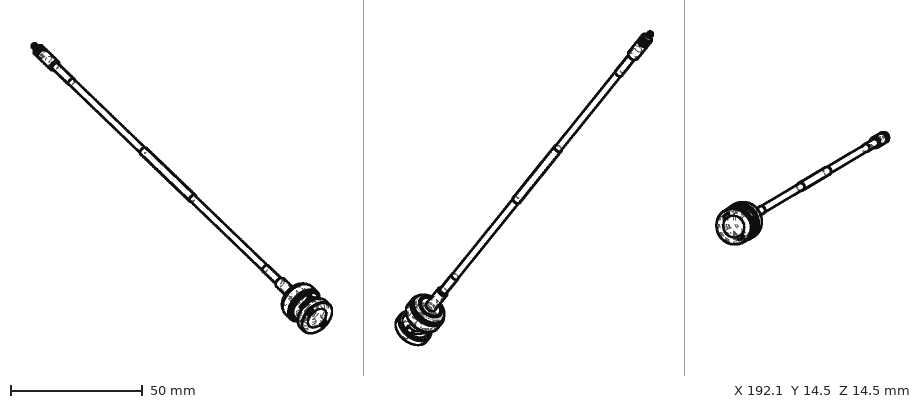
import cadquery as cq
import math


overall_length = 192.13

cable_radius = 1.4
boot_radius = 1.55
label_radius = 1.65
label_start = 74.4
label_length = 33.4
left_boot_length = 10.9
right_boot_length = 9.2

small_length = 14.8
small_radius = 2.15
small_chamfer = 0.5
tip_radius = 1.05
tip_bore_radius = 0.4
tip_bore_depth = 1.2
tip_length = 1.4
nose_cone_length = 1.2
nose_radius = 1.55
shoulder_start = 3.0
groove_depth = 0.2
front_groove_start = 4.2
front_groove_width = 0.4
rear_groove_start = 5.5
rear_groove_width = 0.5
cable_socket_depth = 4.8

ferrule_start = 166.4
ferrule_radius = 2.1
ferrule_chamfer = 0.6

plug_start = 176.8
plug_radius = 4.2

back_face_radius = 4.95
back_lower_length = 0.4
back_lower_radius = 5.8
back_upper_length = 0.9
back_upper_radius = 6.4
back_length = 1.2
shoulder_radius = 6.7
knob_start = 179.4
knob_end = 183.2
knob_radius = 14.48 / 2
collar_end = 184.2
collar_chamfer = 0.3
neck_radius = 5.6
rim_start = 188.9
rim_radius = 7.05
rim_chamfer = 0.4
rim_end_chamfer = 0.25

track_count = 2
pocket_end = 186.3
pocket_angles = (-62, -24)
entry_start = 186.6
entry_angles = (21, 50)
ramp_width = 1.3
ramp_pocket_end = (185.2, 2.4)
ramp_entry_end = (187.9, -2.6)


def revolved(outline):
    """Solid turned about the X axis from a list of (x, radius) points."""
    return cq.Workplane("XY").polyline(outline).close().revolve(360, (0, 0, 0), (1, 0, 0))


def rod(start, end, radius):
    """Cylinder along the X axis."""
    return cq.Workplane("YZ", origin=(start, 0, 0)).circle(radius).extrude(end - start)


def cable_sleeve(start, length, outer_radius):
    """Tube that fits on the cable."""
    end = start + length
    return rod(start, end, outer_radius).cut(rod(start, end, cable_radius))


def make_small_connector():
    groove_radius = small_radius - groove_depth
    front_groove_end = front_groove_start + front_groove_width
    rear_groove_end = rear_groove_start + rear_groove_width
    connector = revolved([
        (0, 0),
        (0, tip_radius),
        (tip_length, tip_radius),
        (tip_length + nose_cone_length, nose_radius),
        (shoulder_start, nose_radius),
        (shoulder_start, small_radius),
        (front_groove_start, small_radius),
        (front_groove_start, groove_radius),
        (front_groove_end, groove_radius),
        (front_groove_end, small_radius),
        (rear_groove_start, small_radius),
        (rear_groove_start, groove_radius),
        (rear_groove_end, groove_radius),
        (rear_groove_end, small_radius),
        (small_length - small_chamfer, small_radius),
        (small_length, small_radius - small_chamfer),
        (small_length, 0),
    ])
    tip_bore = rod(0, tip_bore_depth, tip_bore_radius)
    cable_socket = rod(small_length - cable_socket_depth, small_length, cable_radius)
    return connector.cut(tip_bore).cut(cable_socket)


def make_ferrule():
    return revolved([
        (ferrule_start, cable_radius),
        (ferrule_start, ferrule_radius - ferrule_chamfer),
        (ferrule_start + ferrule_chamfer, ferrule_radius),
        (plug_start, ferrule_radius),
        (plug_start, cable_radius),
    ])


def make_nut_blank():
    """Coupling nut before the bayonet tracks are cut."""
    knob_chamfer = knob_radius - shoulder_radius
    return revolved([
        (plug_start, plug_radius),
        (plug_start, back_face_radius),
        (plug_start + back_lower_length, back_lower_radius),
        (plug_start + back_upper_length, back_upper_radius),
        (plug_start + back_length, shoulder_radius),
        (knob_start - knob_chamfer, shoulder_radius),
        (knob_start, knob_radius),
        (knob_end, knob_radius),
        (knob_end, shoulder_radius),
        (collar_end - collar_chamfer, shoulder_radius),
        (collar_end, shoulder_radius - collar_chamfer),
        (collar_end, neck_radius),
        (rim_start, neck_radius),
        (rim_start, rim_radius - rim_chamfer),
        (rim_start + rim_chamfer, rim_radius),
        (overall_length - rim_end_chamfer, rim_radius),
        (overall_length, rim_radius - rim_end_chamfer),
        (overall_length, plug_radius),
    ])


def track_sector(start, end, angles):
    """Wedge about the X axis, reaching the outside of the neck, between two angles."""
    first_angle, last_angle = angles
    return (
        cq.Workplane("XZ", origin=(start, 0, 0))
        .rect(end - start, neck_radius, centered=False)
        .revolve(last_angle - first_angle, (0, 0, 0), (1, 0, 0))
        .rotate((0, 0, 0), (1, 0, 0), first_angle)
    )


def track_ramp():
    """Slanted slot across the top of the neck, joining the locking pocket to the entry."""
    run = ramp_entry_end[0] - ramp_pocket_end[0]
    rise = ramp_entry_end[1] - ramp_pocket_end[1]
    middle_x = (ramp_entry_end[0] + ramp_pocket_end[0]) / 2
    middle_y = (ramp_entry_end[1] + ramp_pocket_end[1]) / 2
    return (
        cq.Workplane("XY")
        .rect(math.hypot(run, rise), ramp_width)
        .extrude(neck_radius)
        .rotate((0, 0, 0), (0, 0, 1), math.degrees(math.atan2(rise, run)))
        .translate((middle_x, middle_y, 0))
    )


def make_nut():
    nut = make_nut_blank()
    track_parts = (
        track_sector(collar_end, pocket_end, pocket_angles),
        track_ramp(),
        track_sector(entry_start, overall_length, entry_angles),
    )
    for index in range(track_count):
        turn = index * 360 / track_count
        for track_part in track_parts:
            nut = nut.cut(track_part.rotate((0, 0, 0), (1, 0, 0), turn))
    return nut


cable = rod(small_length - cable_socket_depth, plug_start, cable_radius)
left_boot = cable_sleeve(small_length, left_boot_length, boot_radius)
label = cable_sleeve(label_start, label_length, label_radius)
right_boot = cable_sleeve(ferrule_start - right_boot_length, right_boot_length, boot_radius)
small_connector = make_small_connector()
ferrule = make_ferrule()
plug_body = rod(plug_start, overall_length, plug_radius)
coupling_nut = make_nut()

result = cq.Compound.makeCompound([
    cable.val(),
    left_boot.val(),
    label.val(),
    right_boot.val(),
    small_connector.val(),
    ferrule.val(),
    plug_body.val(),
    coupling_nut.val(),
])